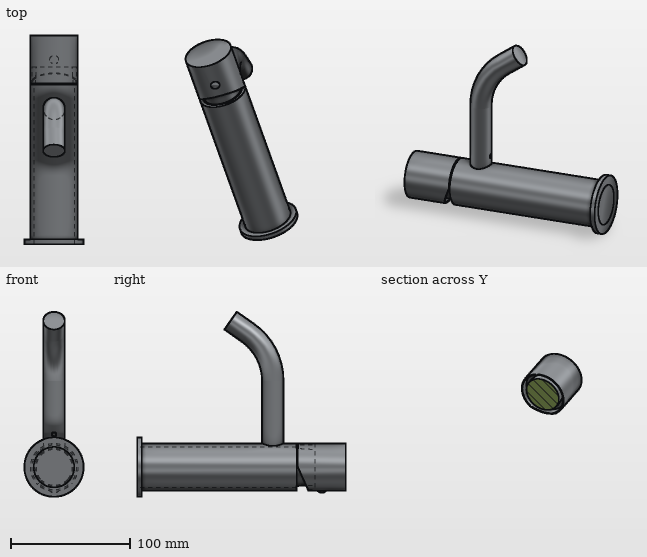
import cadquery as cq
import math

flange_diameter = 50.0
flange_radius = flange_diameter / 2
flange_thickness = 4.0
tube_radius = 20.0
tube_length = 134.0

spout_radius = 9.1
spout_y = 114.0
bend_start_z = 72.5
bend_radius = 49.5
bend_angle = math.radians(55)
spout_tip_length = 17.5

screw_radius = 2.0
screw_z = 27.5
screw_height = 0.2
screw_chamfer = 0.4

total_length = 175.4
knob_gap = 1.0
knob_start = tube_length + knob_gap
rim_cut_run = 9.0
bore_radius = 18.8
bore_depth = 14.0
button_radius = 3.5
button_height = 1.5

core_radius = 17.0
neck_base_radius = 16.0
neck_top_radius = 15.0


def rod(radius, start_y, end_y):
    """Cylinder around the Y axis between two Y positions."""
    return cq.Workplane("XZ", origin=(0, start_y, 0)).circle(radius).extrude(start_y - end_y)


def bend_point(angle):
    """(Y, Z) of the spout's centre line after turning by the given angle."""
    return (
        spout_y - bend_radius * (1 - math.cos(angle)),
        bend_start_z + bend_radius * math.sin(angle),
    )


def make_spout():
    bend_end_y, bend_end_z = bend_point(bend_angle)
    tip_y = bend_end_y - spout_tip_length * math.sin(bend_angle)
    tip_z = bend_end_z + spout_tip_length * math.cos(bend_angle)
    path = (
        cq.Workplane("YZ")
        .moveTo(spout_y, 0)
        .lineTo(spout_y, bend_start_z)
        .threePointArc(bend_point(bend_angle / 2), (bend_end_y, bend_end_z))
        .lineTo(tip_y, tip_z)
    )
    return cq.Workplane("XY", origin=(0, spout_y, 0)).circle(spout_radius).sweep(path)


def make_set_screw():
    return (
        cq.Workplane("XZ", origin=(0, spout_y, screw_z))
        .circle(screw_radius)
        .extrude(spout_radius + screw_height)
        .faces("<Y")
        .chamfer(screw_chamfer)
    )


def make_housing():
    flange = rod(flange_radius, 0, flange_thickness)
    tube = rod(tube_radius, 0, tube_length)
    core_bore = rod(core_radius, 0, tube_length)
    return flange.union(tube).union(make_spout()).union(make_set_screw()).cut(core_bore)


def make_rim_wedge():
    """Wedge removed below the axis, so that the knob has room to tilt."""
    return (
        cq.Workplane("YZ")
        .moveTo(knob_start, 0)
        .lineTo(knob_start, -tube_radius)
        .lineTo(knob_start + rim_cut_run, -tube_radius)
        .close()
        .extrude(tube_radius, both=True)
    )


def make_button():
    """Domed button under the middle of the knob, reaching button_height below it."""
    dome_radius = (button_radius**2 + button_height**2) / (2 * button_height)
    button_y = (knob_start + total_length) / 2
    dome_z = dome_radius - tube_radius - button_height
    return cq.Workplane("XY").sphere(dome_radius).translate((0, button_y, dome_z))


def make_stem():
    neck_top_y = knob_start + bore_depth
    profile = [
        (0, 0),
        (core_radius, 0),
        (core_radius, tube_length),
        (neck_base_radius, tube_length),
        (neck_top_radius, neck_top_y),
        (0, neck_top_y),
    ]
    return cq.Workplane("XY").polyline(profile).close().revolve(360, (0, 0, 0), (0, 1, 0))


def make_knob():
    cap = rod(tube_radius, knob_start, total_length).union(make_button())
    bore = rod(bore_radius, knob_start, knob_start + bore_depth)
    return cap.cut(bore).cut(make_rim_wedge()).union(make_stem())


housing = make_housing()
knob = make_knob()
result = cq.Compound.makeCompound([housing.val(), knob.val()])